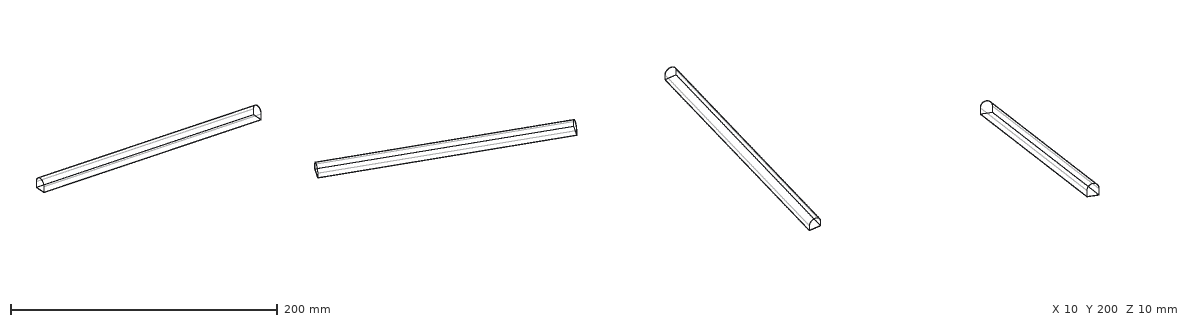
import cadquery as cq

width = 10.0
length = 200.0
height = 10.0

top_radius = width / 2
wall_height = height - top_radius


def half_round_bar():
    """Straight bar along Y with a flat base, upright sides and a rounded top."""
    profile = (
        cq.Workplane("XZ", origin=(0, length / 2, 0))
        .moveTo(-width / 2, 0)
        .lineTo(width / 2, 0)
        .lineTo(width / 2, wall_height)
        .threePointArc((0, height), (-width / 2, wall_height))
        .close()
    )
    return profile.extrude(length)


result = half_round_bar()